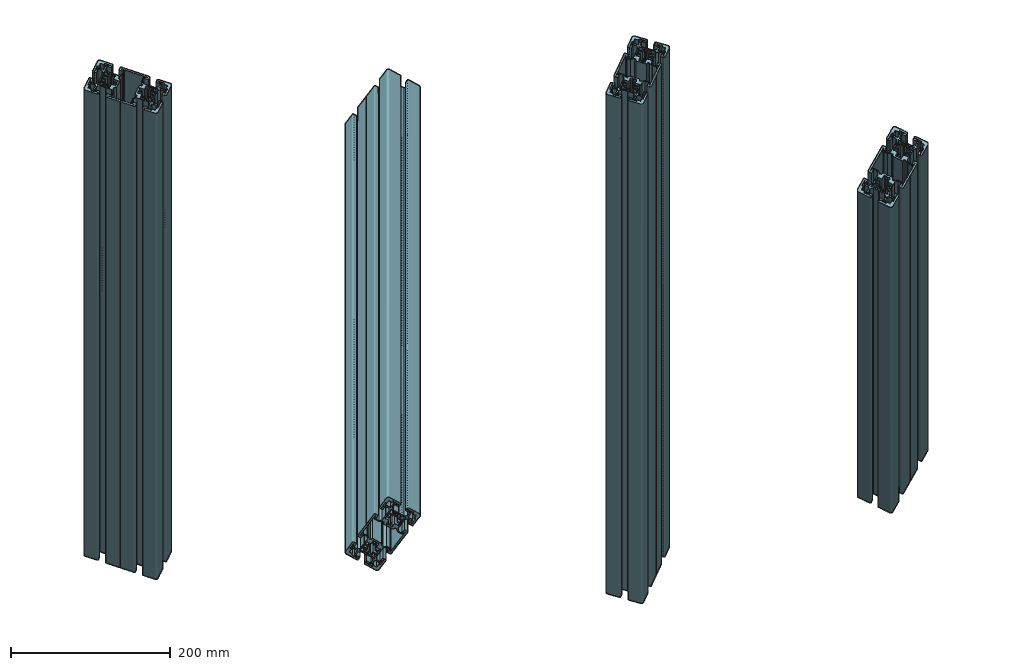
import cadquery as cq
length = 1000.0
module = 50.0
width = 2 * module
half_module = module / 2
core_x = (width - module) / 2
corner_radius = 3.0
skin = 2.6

mouth_half = 5.0
mouth_radius = 1.25
lip = 5.4
undercut_half = 11.1
undercut_depth = 10.5
floor_half = 8.0
floor_depth = 13.2
groove_half = 0.5
groove_depth = 0.5

arm_half = 4.1
arm_reach = 10.0
rib_half = 0.8
bore_radius = 5.5

web_near = 5.7
web_side = 10.2
web_shoulder = 7.9
web_far = 11.3

corner_near = 13.2
corner_far = 20.4
wing_start = 19.9
wing_tip = 6.5
wing_end = 15.5

chamber_core_x = 12.7
chamber_core_y = 7.0
chamber_pocket_x = 15.5
chamber_pocket_low = 8.0
chamber_pocket_high = 10.3
chamber_side_x = 12.8
chamber_side_low = 14.2
chamber_side_high = 20.5
chamber_wing_x = 17.5

mark_half = 0.5
mark_depth = 0.5

outer = half_module - skin


def extrude_outline(points):
    return cq.Workplane("XY").polyline(points).close().extrude(length)


def bar(size_x, size_y):
    return cq.Workplane("XY").rect(size_x, size_y).extrude(length)


def t_slot():
    """Slot opening towards +Y in a module centred on the origin."""
    lip_y = half_module - lip
    side_y = half_module - undercut_depth
    floor_y = half_module - floor_depth
    round_x = mouth_half + mouth_radius
    round_y = half_module - mouth_radius
    arc_mid = mouth_radius * (1 - 0.5**0.5)
    right_side = [
        (mouth_half, lip_y),
        (undercut_half, lip_y),
        (undercut_half, side_y),
        (floor_half, floor_y),
        (groove_half, floor_y),
    ]
    slot = cq.Workplane("XY").moveTo(round_x, half_module)
    slot = slot.threePointArc((mouth_half + arc_mid, half_module - arc_mid), (mouth_half, round_y))
    for point in right_side:
        slot = slot.lineTo(*point)
    slot = slot.lineTo(0, floor_y - groove_depth)
    for x, y in reversed(right_side):
        slot = slot.lineTo(-x, y)
    slot = slot.lineTo(-mouth_half, round_y)
    slot = slot.threePointArc((-mouth_half - arc_mid, half_module - arc_mid), (-round_x, half_module))
    return slot.close().extrude(length)


def screw_core():
    """Cross-shaped void; the bore trims the tips of its four screw ribs."""
    upright = bar(2 * arm_half, 2 * arm_reach)
    level = bar(2 * arm_reach, 2 * arm_half)
    ribs = bar(2 * rib_half, 2 * arm_reach).union(bar(2 * arm_reach, 2 * rib_half))
    bore = cq.Workplane("XY").circle(bore_radius).extrude(length)
    return upright.union(level).cut(ribs).union(bore)


def web_hollow():
    """Hollow on the diagonal of the +X +Y quarter of a module."""
    return extrude_outline([
        (web_near, web_near),
        (web_side, web_near),
        (web_side, web_shoulder),
        (web_far, web_far),
        (web_shoulder, web_side),
        (web_near, web_side),
    ])


def corner_hollow():
    """Corner hollow of the +X +Y quarter of a module, symmetric about the diagonal."""
    lower_half = [
        (corner_near, corner_near),
        (wing_start, corner_near),
        (outer, wing_tip),
        (outer, wing_end),
        (corner_far, wing_end),
        (corner_far, corner_far),
    ]
    upper_half = [(y, x) for x, y in reversed(lower_half[1:-1])]
    return extrude_outline(lower_half + upper_half)


def central_chamber():
    """Chamber on the profile axis, symmetric about X and Y."""
    quarter = [
        (chamber_core_x, chamber_core_y),
        (chamber_pocket_x, chamber_pocket_low),
        (chamber_pocket_x, chamber_pocket_high),
        (chamber_side_x, chamber_side_low),
        (chamber_side_x, chamber_side_high),
        (chamber_wing_x, outer),
    ]
    right_half = [(x, -y) for x, y in reversed(quarter)] + quarter
    left_half = [(-x, y) for x, y in reversed(right_half)]
    return extrude_outline(right_half + left_half)


def mark_groove():
    """V-groove in the middle of the +Y side."""
    return extrude_outline([
        (-mark_half, half_module),
        (mark_half, half_module),
        (0, half_module - mark_depth),
    ])


def outer_module_voids():
    """All voids of the +X module, centred on its core axis."""
    voids = [screw_core()]
    slot = t_slot()
    for angle in (0, -90, 180):
        voids.append(slot.rotate((0, 0, 0), (0, 0, 1), angle))
    for hollow in (web_hollow(), corner_hollow()):
        voids.append(hollow)
        voids.append(hollow.mirror("XZ"))
    return voids


result = bar(width, module).edges("|Z").fillet(corner_radius)
result = result.cut(central_chamber())
for void in outer_module_voids():
    right_void = void.translate((core_x, 0, 0))
    result = result.cut(right_void).cut(right_void.mirror("YZ"))
groove = mark_groove()
result = result.cut(groove).cut(groove.mirror("XZ"))